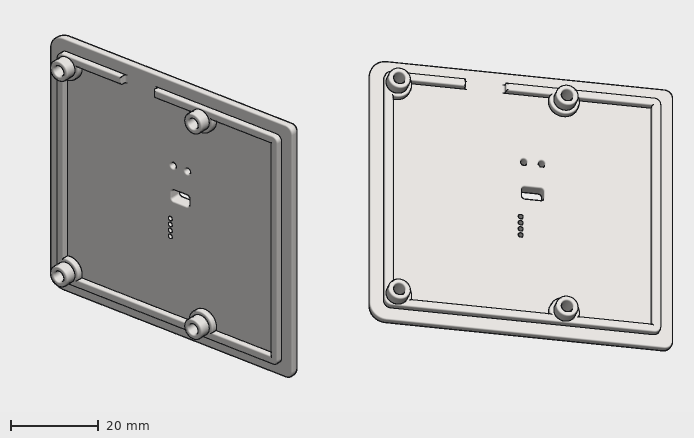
import cadquery as cq

PLATE_WIDTH = 71.0
PLATE_HEIGHT = 66.0
OVERALL_DEPTH = 7.3
PLATE_THICKNESS = 3.05
PLATE_LEFT_RADIUS = 4.0
PLATE_RIGHT_RADIUS = 2.0
BACK_ROUND = 2.0
EDGE_ROUND = 0.4

RIM_INSET = 3.1
RIM_WALL = 2.05
RIM_HEIGHT = 1.5
RIM_LEFT_RADIUS = 1.8
RIM_RIGHT_RADIUS = 1.5
GAP_LEFT = -13.4
GAP_RIGHT = -3.9
GAP_FOOT_RADIUS = 0.5

BOSS_X = (-29.55, 9.8)
BOSS_Z = (-26.9, 26.9)
BOSS_HEIGHT = OVERALL_DEPTH - PLATE_THICKNESS
BOSS_DIAMETER = 5.2
BOSS_HOLE_DIAMETER = 2.7
PAD_DIAMETER = 7.0

WINDOW_X = 2.7
WINDOW_Z = 3.05
WINDOW_WIDTH = 5.25
WINDOW_HEIGHT = 3.0
WINDOW_RADIUS = 0.8
BUTTON_Z = 10.85
BUTTON_SPACING = 4.2
BUTTON_DIAMETER = 1.5

INDICATOR_X = -0.2
INDICATOR_TOP_Z = -3.2
INDICATOR_PITCH = 1.55
INDICATOR_COUNT = 4
INDICATOR_DIAMETER = 1.15

RIM_WIDTH = PLATE_WIDTH - 2 * RIM_INSET
RIM_LENGTH = PLATE_HEIGHT - 2 * RIM_INSET
BOSS_CENTRES = [(x, z) for x in BOSS_X for z in BOSS_Z]


def inner_face():
    """Workplane on the inner face: local x is X, local y is Z, extrusion goes to -Y."""
    return cq.Workplane("XZ")


def rounded_panel(width, height, depth, left_radius, right_radius):
    """Block whose left and right corners have different radii."""
    panel = inner_face().rect(width, height).extrude(depth)
    return panel.edges("|Y and <X").fillet(left_radius).edges("|Y and >X").fillet(right_radius)


def make_window_cutter():
    outline = inner_face().center(WINDOW_X, WINDOW_Z).rect(WINDOW_WIDTH, WINDOW_HEIGHT)
    return outline.extrude(-PLATE_THICKNESS).edges("|Y").fillet(WINDOW_RADIUS)


def make_button_cutter():
    centres = [(WINDOW_X + side * BUTTON_SPACING / 2, BUTTON_Z) for side in (-1, 1)]
    return inner_face().pushPoints(centres).circle(BUTTON_DIAMETER / 2).extrude(-PLATE_THICKNESS)


def make_indicator_cutter():
    centres = [(INDICATOR_X, INDICATOR_TOP_Z - i * INDICATOR_PITCH) for i in range(INDICATOR_COUNT)]
    return inner_face().pushPoints(centres).circle(INDICATOR_DIAMETER / 2).extrude(-PLATE_THICKNESS)


def make_plate():
    """Plate with a large round behind and a small one around its inner face and openings."""
    plate = rounded_panel(
        PLATE_WIDTH, PLATE_HEIGHT, -PLATE_THICKNESS, PLATE_LEFT_RADIUS, PLATE_RIGHT_RADIUS
    )
    plate = plate.faces(">Y").edges().fillet(BACK_ROUND)
    plate = plate.cut(make_window_cutter()).cut(make_button_cutter())
    return plate.faces("<Y").edges().fillet(EDGE_ROUND)


def boss_cylinders(diameter, depth):
    """Cylinders on all boss centres, rising from the inner face or sinking into the plate if negative."""
    return inner_face().pushPoints(BOSS_CENTRES).circle(diameter / 2).extrude(depth)


def make_rim():
    """Rim and boss pads joined, with all their upper edges rounded."""
    envelope = rounded_panel(RIM_WIDTH, RIM_LENGTH, RIM_HEIGHT, RIM_LEFT_RADIUS, RIM_RIGHT_RADIUS)
    opening = inner_face().rect(RIM_WIDTH - 2 * RIM_WALL, RIM_LENGTH - 2 * RIM_WALL).extrude(RIM_HEIGHT)
    gap = (
        inner_face()
        .center((GAP_LEFT + GAP_RIGHT) / 2, RIM_LENGTH / 2)
        .rect(GAP_RIGHT - GAP_LEFT, 2 * RIM_WALL)
        .extrude(RIM_HEIGHT)
    )
    pads = boss_cylinders(PAD_DIAMETER, RIM_HEIGHT)
    rim = envelope.cut(opening).cut(gap).union(pads.intersect(envelope))
    return rim.faces("<Y").edges().fillet(EDGE_ROUND)


def make_gap_foot(wall_x, direction):
    """Concave fillet between the plate and one end of the rim; direction points into the gap."""
    reach = direction * GAP_FOOT_RADIUS
    return (
        cq.Workplane("XY", origin=(wall_x, 0, RIM_LENGTH / 2 - RIM_WALL))
        .lineTo(reach, 0)
        .radiusArc((0, -GAP_FOOT_RADIUS), -reach)
        .close()
        .extrude(RIM_WALL)
    )


def make_bosses():
    """Tubes with both edges of their free ends rounded."""
    bosses = boss_cylinders(BOSS_DIAMETER, BOSS_HEIGHT).cut(boss_cylinders(BOSS_HOLE_DIAMETER, BOSS_HEIGHT))
    return bosses.faces("<Y").edges().fillet(EDGE_ROUND)


base = make_plate().cut(make_indicator_cutter())
base = base.union(make_rim()).union(make_gap_foot(GAP_LEFT, 1)).union(make_gap_foot(GAP_RIGHT, -1))
for hole_depth in (RIM_HEIGHT, -PLATE_THICKNESS):
    base = base.cut(boss_cylinders(BOSS_HOLE_DIAMETER, hole_depth))
result = base.union(make_bosses())